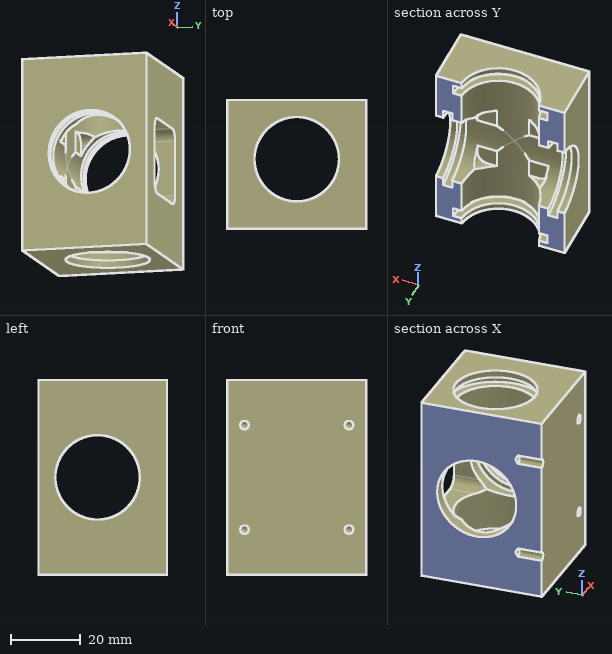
import cadquery as cq
import math

size_x = 40.0
size_y = 37.0
size_z = 56.0

bore_diameter = 24.2
front_y = -size_y / 2
axis_y = front_y + size_x / 2

groove_diameter = 29.5
lip_depth = 2.2
groove_width = 2.8

cavity_width = 22.0
cavity_corner_radius = 3.0

mount_diameter = 2.45
mount_spacing = 30.0
mount_depth = 7.3
drill_tip_angle = 118.0
drill_point_depth = mount_diameter / 2 / math.tan(math.radians(drill_tip_angle / 2))


def make_bore(plane_name, length):
    """Cutter for a through bore with a ring groove near each end."""
    plane = cq.Plane.named(plane_name, origin=(0, axis_y, 0))
    bore = cq.Workplane(plane).circle(bore_diameter / 2).extrude(length / 2, both=True)
    groove_start = length / 2 - lip_depth - groove_width
    for offset in (groove_start, -groove_start - groove_width):
        groove_plane = cq.Workplane(plane).workplane(offset=offset)
        groove = groove_plane.circle(groove_diameter / 2).extrude(groove_width)
        bore = bore.union(groove)
    return bore


def make_cavity():
    """Cutter for the cavity, from its front wall out through the back face."""
    cavity_front = axis_y - cavity_width / 2
    depth = size_y / 2 - cavity_front
    return (
        cq.Workplane("XY")
        .box(cavity_width, depth, cavity_width, centered=(True, False, True))
        .edges("|Y")
        .fillet(cavity_corner_radius)
        .translate((0, cavity_front, 0))
    )


def make_mount_hole(x, z):
    """Cutter for one mounting hole with a conical bottom, revolved about its axis."""
    radius = mount_diameter / 2
    profile = [
        (0, 0),
        (radius, 0),
        (radius, mount_depth),
        (0, mount_depth + drill_point_depth),
    ]
    hole = cq.Workplane("XY").polyline(profile).close().revolve(360, (0, 0), (0, 1))
    return hole.translate((x, front_y, z))


result = cq.Workplane("XY").box(size_x, size_y, size_z)
result = result.cut(make_bore("YZ", size_x))
result = result.cut(make_bore("XY", size_z))
result = result.cut(make_cavity())

for x in (-mount_spacing / 2, mount_spacing / 2):
    for z in (-mount_spacing / 2, mount_spacing / 2):
        result = result.cut(make_mount_hole(x, z))